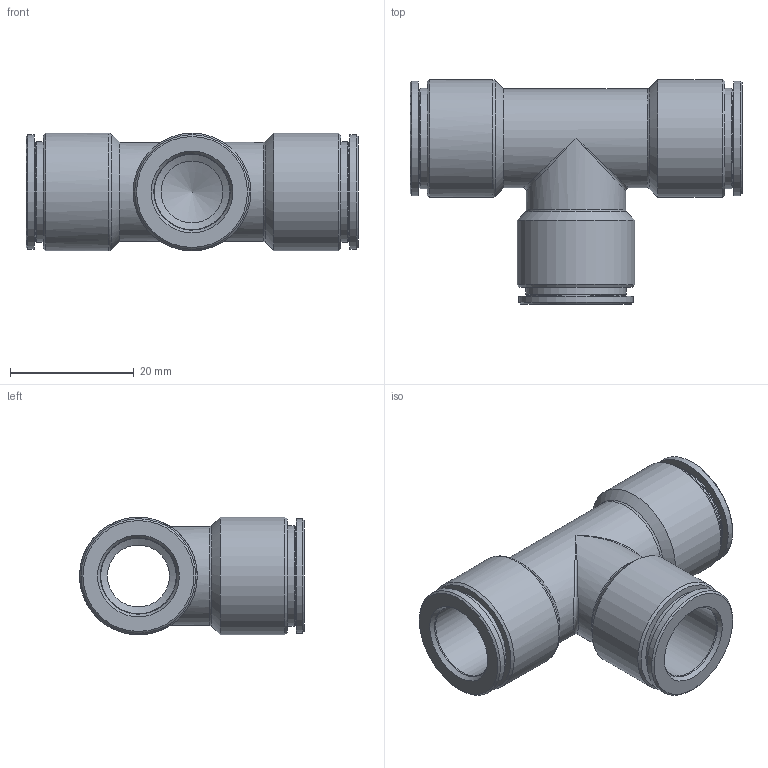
import cadquery as cq
import math

reach = 26.8
branch_angle = 0
run_angles = (90, -90)

neck_radius = 8.0
body_radius = 9.5
body_start = 13.2
body_end = 24.05
body_rim_length = 0.45
body_rim_depth = 0.3
shoulder_start = body_start - (body_radius - neck_radius)
blend_radius = 0.5

collar_radius = 8.1
collar_end = 25.15
undercut_radius = 7.95
flange_radius = 9.25
flange_start = 25.5
flange_chamfer = 0.3

mouth_radius = 6.6
mouth_depth = 0.75
mouth_blend_radius = 0.35
socket_radius = 6.1
socket_end = 9.5
bore_radius = 5.0
seat_half_angle = 60.0
seat_end = socket_end - (socket_radius - bore_radius) / math.tan(math.radians(seat_half_angle))
tip_half_angle = 68.0
tip_apex = seat_end - bore_radius / math.tan(math.radians(tip_half_angle))


def revolve_leg(outline):
    """Revolve (radius, distance from the tee centre) points about Y into a leg toward -Y."""
    points = [(radius, -distance) for radius, distance in outline]
    return cq.Workplane("XY").polyline(points).close().revolve(360, (0, 0, 0), (0, 1, 0))


def turned(solid, angle):
    return solid.rotate((0, 0, 0), (0, 0, 1), angle)


def make_core():
    """Necks of the run and the branch, filleted along their mitred crotch."""
    run = cq.Workplane("YZ").circle(neck_radius).extrude(shoulder_start, both=True)
    branch = cq.Workplane("XZ").circle(neck_radius).extrude(shoulder_start)
    return run.union(branch).edges("%ELLIPSE").fillet(blend_radius)


def make_leg_end():
    """Outer part of one leg: conical shoulder, body and flanged release collar."""
    return revolve_leg([
        (0, shoulder_start),
        (neck_radius, shoulder_start),
        (body_radius, body_start),
        (body_radius, body_end - body_rim_length),
        (body_radius - body_rim_depth, body_end),
        (collar_radius, body_end),
        (collar_radius, collar_end),
        (undercut_radius, collar_end + collar_radius - undercut_radius),
        (undercut_radius, flange_start),
        (flange_radius, flange_start),
        (flange_radius, reach - flange_chamfer),
        (flange_radius - flange_chamfer, reach),
        (0, reach),
    ])


def make_cavity(inner_end):
    """Stepped socket of one leg, from its port inward to the given inner end points."""
    cavity = revolve_leg(inner_end + [
        (bore_radius, seat_end),
        (socket_radius, socket_end),
        (socket_radius, reach - mouth_depth),
        (mouth_radius, reach),
        (0, reach),
    ])
    mouth_corner = cq.selectors.NearestToPointSelector((0, mouth_depth - reach, 0))
    return cavity.edges(mouth_corner).fillet(mouth_blend_radius)


def make_outside():
    """Core with its three leg ends, each neck blended into its shoulder."""
    leg_end = make_leg_end()
    outside = make_core()
    for angle in (branch_angle, *run_angles):
        outside = outside.union(turned(leg_end, angle))
    corner_centres = ((0, -shoulder_start, 0), (shoulder_start, 0, 0), (-shoulder_start, 0, 0))
    for corner_centre in corner_centres:
        shoulder_corner = cq.selectors.NearestToPointSelector(corner_centre)
        outside = outside.edges(shoulder_corner).fillet(blend_radius)
    return outside


through_cavity = make_cavity([(0, 0), (bore_radius, 0)])
blind_cavity = make_cavity([(0, tip_apex)])

result = make_outside().cut(turned(blind_cavity, branch_angle))
for run_angle in run_angles:
    result = result.cut(turned(through_cavity, run_angle))